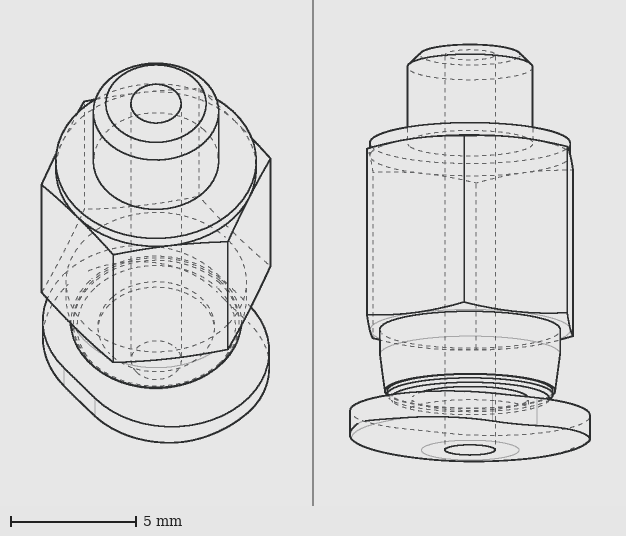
import cadquery as cq
import math

BUTTON_TOP = 1.5
SLEEVE_BOTTOM = 2.1
SLEEVE_STEP = 2.4
SLEEVE_TAPER_TOP = 3.9
HEX_BOTTOM = 4.9
HEX_TOP = 12.0
COLLAR_TOP = 12.5
TOTAL_HEIGHT = 16.1

BUTTON_LENGTH = 9.8
BUTTON_WIDTH = 7.8
BUTTON_FACE_DIAMETER = BUTTON_WIDTH / 2
BUTTON_CONE_ANGLE = 10
BUTTON_RIM_FILLET = 0.2
NECK_DIAMETER = 4.65
NECK_FILLET = 0.4

SLEEVE_DIAMETER = 7.2
SLEEVE_TAPER_DIAMETER = 6.8
SLEEVE_LIP_DIAMETER = 6.62
SLEEVE_LIP_CHAMFER = 0.15

HEX_SIDES = 6
HEX_FLATS = 8.0
HEX_CHAMFER_ANGLE = 15

COLLAR_DIAMETER = HEX_FLATS
STUD_DIAMETER = 5.0
STUD_CHAMFER = 0.5

BORE_DIAMETER = 2.0


def cylinder(diameter, bottom, top):
    """Round bar on the Z axis between two heights."""
    return cq.Workplane("XY").workplane(offset=bottom).circle(diameter / 2).extrude(top - bottom)


def revolve_profile(profile):
    """Turn a closed (radius, height) profile about the Z axis."""
    return profile.close().revolve(360, (0, 0, 0), (0, 1, 0))


def make_button():
    """Obround plate cut from a round blank with a shallow cone and a rounded rim underneath."""
    plate = cq.Workplane("XY").slot2D(BUTTON_LENGTH, BUTTON_WIDTH).extrude(BUTTON_TOP)
    face_radius = BUTTON_FACE_DIAMETER / 2
    rim_radius = BUTTON_LENGTH / 2
    cone_rise = (rim_radius - face_radius) * math.tan(math.radians(BUTTON_CONE_ANGLE))
    blank = revolve_profile(
        cq.Workplane("XZ")
        .lineTo(face_radius, 0)
        .lineTo(rim_radius, cone_rise)
        .lineTo(rim_radius, BUTTON_TOP)
        .lineTo(0, BUTTON_TOP)
    )
    rim_edge = cq.selectors.NearestToPointSelector((-rim_radius, 0, cone_rise))
    blank = blank.edges("%CIRCLE").edges(rim_edge).fillet(BUTTON_RIM_FILLET)
    return plate.intersect(blank)


def make_neck():
    """Round neck flaring into the button through a concave fillet."""
    radius = NECK_DIAMETER / 2
    foot_radius = radius + NECK_FILLET
    fillet_top = BUTTON_TOP + NECK_FILLET
    mid_arc = NECK_FILLET * math.sqrt(0.5)
    return revolve_profile(
        cq.Workplane("XZ")
        .moveTo(0, BUTTON_TOP)
        .lineTo(foot_radius, BUTTON_TOP)
        .threePointArc((foot_radius - mid_arc, fillet_top - mid_arc), (radius, fillet_top))
        .lineTo(radius, SLEEVE_BOTTOM)
        .lineTo(0, SLEEVE_BOTTOM)
    )


def make_sleeve():
    """Cylinder tapering down to a small step and a chamfered lip."""
    outer_radius = SLEEVE_DIAMETER / 2
    taper_radius = SLEEVE_TAPER_DIAMETER / 2
    lip_radius = SLEEVE_LIP_DIAMETER / 2
    return revolve_profile(
        cq.Workplane("XZ")
        .moveTo(0, SLEEVE_BOTTOM)
        .lineTo(lip_radius - SLEEVE_LIP_CHAMFER, SLEEVE_BOTTOM)
        .lineTo(lip_radius, SLEEVE_BOTTOM + SLEEVE_LIP_CHAMFER)
        .lineTo(lip_radius, SLEEVE_STEP)
        .lineTo(taper_radius, SLEEVE_STEP)
        .lineTo(outer_radius, SLEEVE_TAPER_TOP)
        .lineTo(outer_radius, HEX_BOTTOM)
        .lineTo(0, HEX_BOTTOM)
    )


def make_hex():
    """Hexagon with corners on the X axis, chamfered at both ends."""
    flat_radius = HEX_FLATS / 2
    corner_radius = flat_radius / math.cos(math.pi / HEX_SIDES)
    drop = (corner_radius - flat_radius) * math.tan(math.radians(HEX_CHAMFER_ANGLE))
    prism = (
        cq.Workplane("XY")
        .workplane(offset=HEX_BOTTOM)
        .polygon(HEX_SIDES, 2 * corner_radius)
        .extrude(HEX_TOP - HEX_BOTTOM)
    )
    envelope = revolve_profile(
        cq.Workplane("XZ")
        .moveTo(0, HEX_BOTTOM)
        .lineTo(flat_radius, HEX_BOTTOM)
        .lineTo(corner_radius, HEX_BOTTOM + drop)
        .lineTo(corner_radius, HEX_TOP - drop)
        .lineTo(flat_radius, HEX_TOP)
        .lineTo(0, HEX_TOP)
    )
    return prism.intersect(envelope)


def make_stud():
    """Plain cylindrical end with a chamfered tip."""
    stud = cylinder(STUD_DIAMETER, COLLAR_TOP, TOTAL_HEIGHT)
    return stud.faces(">Z").chamfer(STUD_CHAMFER)


collar = cylinder(COLLAR_DIAMETER, HEX_TOP, COLLAR_TOP)
bore = cylinder(BORE_DIAMETER, 0, TOTAL_HEIGHT)

result = make_button()
for section in (make_neck(), make_sleeve(), make_hex(), collar, make_stud()):
    result = result.union(section)
result = result.cut(bore)